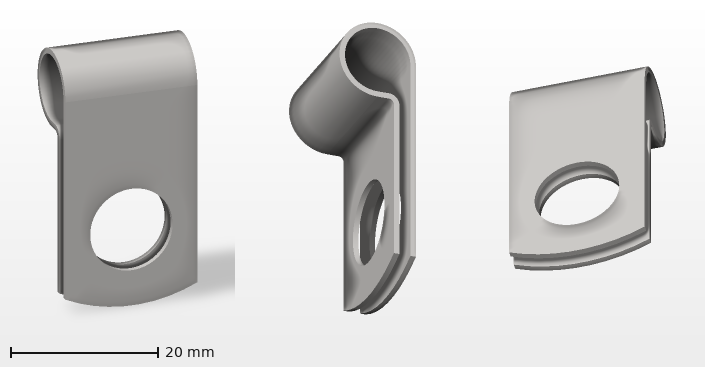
import cadquery as cq
import math

total_height = 36.5
strip_width = 19.05
thickness = 0.8
loop_outer_diameter = 11.15
leg_gap = 1.6
bend_inner_radius = 0.73
hole_diameter = 11.9
hole_height = 11.1
tip_rise = 2.1

loop_outer_radius = loop_outer_diameter / 2
loop_inner_radius = loop_outer_radius - thickness
bend_outer_radius = bend_inner_radius + thickness
bottom_z = loop_outer_radius - total_height
short_leg_outer_x = loop_inner_radius - leg_gap
short_leg_inner_x = short_leg_outer_x - thickness
bend_x = short_leg_inner_x - bend_inner_radius
bend_z = -loop_inner_radius - bend_outer_radius


def diagonal_point(center_x, center_z, radius, x_sign):
    """Point halfway along an upper quarter circle, to the left or right."""
    offset = radius * math.sqrt(0.5)
    return center_x + x_sign * offset, center_z + offset


def bent_strip():
    """Long leg, three-quarter loop, bend and short leg, extruded along Y."""
    return (
        cq.Workplane("XZ")
        .moveTo(loop_outer_radius, bottom_z)
        .lineTo(loop_outer_radius, 0)
        .threePointArc(diagonal_point(0, 0, loop_outer_radius, -1), (0, -loop_outer_radius))
        .lineTo(bend_x, -loop_outer_radius)
        .threePointArc(
            diagonal_point(bend_x, bend_z, bend_inner_radius, 1),
            (short_leg_inner_x, bend_z),
        )
        .lineTo(short_leg_inner_x, bottom_z)
        .lineTo(short_leg_outer_x, bottom_z)
        .lineTo(short_leg_outer_x, bend_z)
        .threePointArc(
            diagonal_point(bend_x, bend_z, bend_outer_radius, 1),
            (bend_x, -loop_inner_radius),
        )
        .lineTo(0, -loop_inner_radius)
        .threePointArc(diagonal_point(0, 0, loop_inner_radius, -1), (loop_inner_radius, 0))
        .lineTo(loop_inner_radius, bottom_z)
        .close()
        .extrude(strip_width / 2, both=True)
    )


def rounded_tip_envelope():
    """Block with an arched lower end that trims both leg tips."""
    half_width = strip_width / 2
    return (
        cq.Workplane("YZ")
        .moveTo(-half_width, loop_outer_radius)
        .lineTo(-half_width, bottom_z + tip_rise)
        .threePointArc((0, bottom_z), (half_width, bottom_z + tip_rise))
        .lineTo(half_width, loop_outer_radius)
        .close()
        .extrude(loop_outer_diameter, both=True)
    )


def bolt_hole():
    """Round cutter along X through both legs."""
    return (
        cq.Workplane("YZ")
        .center(0, bottom_z + hole_height)
        .circle(hole_diameter / 2)
        .extrude(loop_outer_diameter, both=True)
    )


result = bent_strip().intersect(rounded_tip_envelope()).cut(bolt_hole())